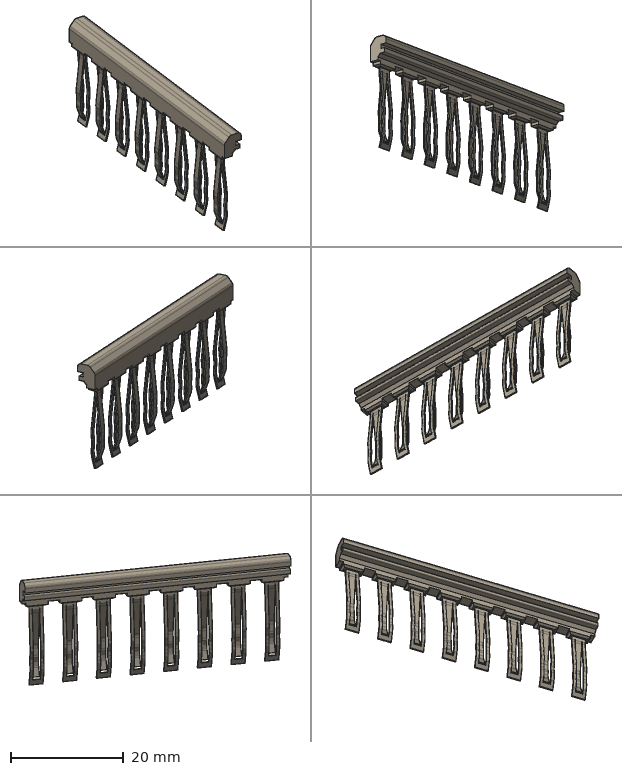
import cadquery as cq
import math

bar_length = 49.0
bar_front = -0.9
bar_depth = 3.65
bar_back = bar_front + bar_depth
bar_height = 4.35
stem_back = -bar_front
bevel_depth = 1.22
bevel_height = 1.35
bevel_blend = 0.8
back_radius = 0.85
groove_top = 1.6
groove_bottom = 2.4
groove_depth = 1.2
lip_bottom = 3.25
lip_setback = 0.3
lip_radius = 0.1
stem_chamfer = 0.6

foot_width = 4.05
foot_height = 0.85
foot_taper_height = 0.3
foot_taper_inset = 0.45

blade_count = 8
end_margin = 2.8
blade_pitch = (bar_length - 2 * end_margin) / (blade_count - 1)
sheet = 0.3
blade_width = 2.55
tongue_width = 1.25
window_width = 1.35
window_top = 5.85
window_bottom = 19.15
bend_radius = 4.9
knee_radius = 2.95

split_depth = 6.25
frame_path = [(0, bar_height), (0, split_depth), (0.75, 13.4), (0.55, 15.4), (0.75, 17.45), (0, 20.15)]
frame_radii = [bend_radius] * (len(frame_path) - 2)
tongue_path = [(0, bar_height), (0, split_depth), (-0.75, 13.15), (-0.65, 15.1), (-0.7, 16.65), (0.1, 18.75)]
tongue_radii = [bend_radius] * (len(tongue_path) - 3) + [knee_radius]


def round_edges(body, corners, radius):
    """Round the long edges of the bar that pass through the given (Y, Z) profile corners."""
    for y, z in corners:
        body = body.edges(cq.NearestToPointSelector((0, y, z))).fillet(radius)
    return body


def make_bar():
    bevel_bottom = (bar_front, -bevel_height)
    bevel_top = (bar_front + bevel_depth, 0)
    top_back = (bar_back, 0)
    lip_back = bar_back - lip_setback
    lip_corners = [(lip_back, -groove_bottom), (lip_back, -lip_bottom)]
    profile = [
        (bar_front, -bar_height),
        bevel_bottom,
        bevel_top,
        top_back,
        (bar_back, -groove_top),
        (bar_back - groove_depth, -groove_top),
        (bar_back - groove_depth, -groove_bottom),
        *lip_corners,
        (stem_back + stem_chamfer, -lip_bottom),
        (stem_back, -lip_bottom - stem_chamfer),
        (stem_back, -bar_height),
    ]
    bar = cq.Workplane("YZ").polyline(profile).close().extrude(bar_length / 2, both=True)
    bar = round_edges(bar, [bevel_bottom, bevel_top], bevel_blend)
    bar = round_edges(bar, [top_back], back_radius)
    return round_edges(bar, lip_corners, lip_radius)


def beside(point, angle, distance):
    """Point moved to the left of the heading angle by distance."""
    y, z = point
    return (y - distance * math.sin(angle), z + distance * math.cos(angle))


def sheet_face(path, radii, offset):
    """One face of a bent sheet: first point, three points on the arc of each bend, last point."""
    headings = [math.atan2(z2 - z1, y2 - y1) for (y1, z1), (y2, z2) in zip(path, path[1:])]
    points = [beside(path[0], headings[0], offset)]
    for corner, before, after, radius in zip(path[1:-1], headings, headings[1:], radii):
        middle = (before + after) / 2
        signed_radius = math.copysign(radius, after - before)
        centre = beside(corner, middle, signed_radius / math.cos((after - before) / 2))
        points += [beside(centre, angle, offset - signed_radius) for angle in (before, middle, after)]
    points.append(beside(path[-1], headings[-1], offset))
    return points


def bent_strip(path, width, radii):
    """Sheet strip along a (Y, depth) centre line, bent with the given radius at each inner corner."""
    line = [(y, -depth) for y, depth in path]
    left = sheet_face(line, radii, sheet / 2)
    right = sheet_face(line, radii, -sheet / 2)
    outline = cq.Workplane("YZ").moveTo(*right[0])
    for face in (left, right[::-1]):
        outline = outline.lineTo(*face[0])
        for arc_start, arc_middle, arc_end in zip(face[1:-1:3], face[2:-1:3], face[3:-1:3]):
            outline = outline.lineTo(*arc_start)
            outline = outline.threePointArc(arc_middle, arc_end)
        outline = outline.lineTo(*face[-1])
    return outline.close().extrude(width / 2, both=True)


def make_foot():
    return (
        cq.Workplane("XY", origin=(0, 0, -bar_height - foot_height))
        .rect(foot_width, stem_back - bar_front)
        .extrude(foot_height)
        .faces("<Z")
        .chamfer(foot_taper_height, foot_taper_inset)
    )


def make_blade():
    window = cq.Workplane("XY", origin=(0, 0, -window_bottom)).box(
        window_width, bar_depth, window_bottom - window_top, centered=(True, True, False)
    )
    frame = bent_strip(frame_path, blade_width, frame_radii).cut(window)
    tongue = bent_strip(tongue_path, tongue_width, tongue_radii)
    return frame.union(tongue).union(make_foot())


result = make_bar()
blade = make_blade()
for i in range(blade_count):
    x = -bar_length / 2 + end_margin + i * blade_pitch
    result = result.union(blade.translate((x, 0, 0)))